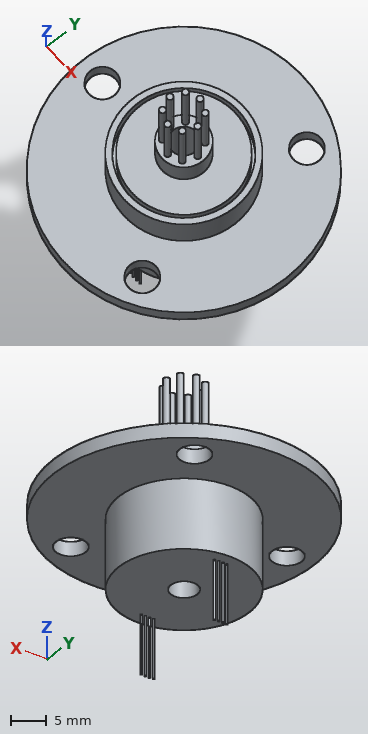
import cadquery as cq

FLANGE_DIAMETER = 44.0
FLANGE_THICKNESS = 2.38
MOUNT_HOLE_COUNT = 3
MOUNT_HOLE_DIAMETER = 5.0
MOUNT_CIRCLE_RADIUS = 17.5

HOUSING_DIAMETER = FLANGE_DIAMETER / 2
HOUSING_ABOVE_FLANGE = 5.55
HOUSING_BELOW_FLANGE = 11.55
GROOVE_OUTER_DIAMETER = 20.0
GROOVE_INNER_DIAMETER = 19.0
GROOVE_DEPTH = 2.0

HUB_DIAMETER = 8.1
HUB_HEIGHT = 4.0
BORE_DIAMETER = 4.5
PIN_COUNT = 8
PIN_DIAMETER = 1.0
PIN_LENGTH = 10.0
PIN_CIRCLE_RADIUS = 3.0

WIRES_PER_GROUP = 4
WIRE_DIAMETER = 0.3
WIRE_LENGTH = 9.75
WIRE_CIRCLE_RADIUS = 9.0
WIRE_ANGLE_STEP = 4.5

HOUSING_TOP = FLANGE_THICKNESS + HOUSING_ABOVE_FLANGE
HUB_TOP = HOUSING_TOP + HUB_HEIGHT
HOUSING_BOTTOM = -HOUSING_BELOW_FLANGE


def cylinder(diameter, bottom, top):
    """Cylinder on the Z axis between two heights."""
    return cq.Workplane("XY").workplane(offset=bottom).circle(diameter / 2).extrude(top - bottom)


def make_flange():
    holes = (
        cq.Workplane("XY")
        .polarArray(MOUNT_CIRCLE_RADIUS, 180, 360, MOUNT_HOLE_COUNT)
        .circle(MOUNT_HOLE_DIAMETER / 2)
        .extrude(FLANGE_THICKNESS)
    )
    return cylinder(FLANGE_DIAMETER, 0, FLANGE_THICKNESS).cut(holes)


def make_housing():
    groove_floor = HOUSING_TOP - GROOVE_DEPTH
    groove = cylinder(GROOVE_OUTER_DIAMETER, groove_floor, HOUSING_TOP).cut(
        cylinder(GROOVE_INNER_DIAMETER, groove_floor, HOUSING_TOP)
    )
    return cylinder(HOUSING_DIAMETER, HOUSING_BOTTOM, HOUSING_TOP).cut(groove)


def make_pins():
    return (
        cq.Workplane("XY")
        .workplane(offset=HUB_TOP)
        .polarArray(PIN_CIRCLE_RADIUS, 0, 360, PIN_COUNT)
        .circle(PIN_DIAMETER / 2)
        .extrude(PIN_LENGTH)
    )


def make_wire_group(middle_angle):
    """Wires spaced evenly to both sides of the given direction."""
    half_spread = WIRE_ANGLE_STEP * (WIRES_PER_GROUP - 1) / 2
    return (
        cq.Workplane("XY")
        .workplane(offset=HOUSING_BOTTOM)
        .polarArray(
            WIRE_CIRCLE_RADIUS, middle_angle - half_spread, WIRE_ANGLE_STEP, WIRES_PER_GROUP,
            fill=False,
        )
        .circle(WIRE_DIAMETER / 2)
        .extrude(-WIRE_LENGTH)
    )


body = make_flange().union(make_housing())
body = body.union(cylinder(HUB_DIAMETER, HOUSING_TOP, HUB_TOP))
body = body.cut(cylinder(BORE_DIAMETER, HOUSING_BOTTOM, HUB_TOP))
body = body.union(make_pins())
for side_angle in (-90, 90):
    body = body.union(make_wire_group(side_angle))

result = body